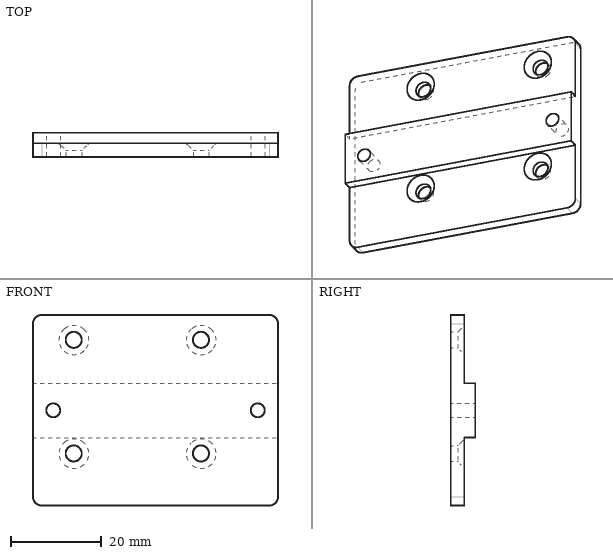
import cadquery as cq

plate_width = 54.0
plate_height = 42.0
plate_thickness = 3.0
corner_radius = 2.0

rib_height = 12.0
rib_depth = 2.4
total_depth = plate_thickness + rib_depth

mount_hole_diameter = 3.5
mount_spacing_x = 28.0
mount_spacing_z = 25.0
mount_centre_x = -4.0
mount_centre_z = 3.0

countersink_depth = plate_thickness / 2
countersink_diameter = mount_hole_diameter + 2 * countersink_depth

end_hole_diameter = 3.0
end_hole_spacing = 45.0


def make_plate():
    """Rounded rectangular plate, from y = 0 to y = plate_thickness."""
    plate = cq.Workplane("XY").box(
        plate_width, plate_thickness, plate_height, centered=(True, False, True)
    )
    return plate.edges("|Y").fillet(corner_radius)


def make_rib():
    """Bar standing on the back face of the plate."""
    rib = cq.Workplane("XY").box(
        plate_width, rib_depth, rib_height, centered=(True, False, True)
    )
    return rib.translate((0, plate_thickness, 0))


def make_hole_cutters(diameter, centres):
    """Cylinders along Y through the full depth, at the given (x, z) centres."""
    return cq.Workplane("XZ").pushPoints(centres).circle(diameter / 2).extrude(-total_depth)


def make_countersink_cutters(centres):
    """Cones that widen towards the back face of the plate, at the given (x, z) centres."""
    cone = cq.Solid.makeCone(
        mount_hole_diameter / 2,
        countersink_diameter / 2,
        countersink_depth,
        pnt=cq.Vector(0, plate_thickness - countersink_depth, 0),
        dir=cq.Vector(0, 1, 0),
    )
    cutters = cq.Workplane("XY")
    for x, z in centres:
        cutters = cutters.add(cone.translate(cq.Vector(x, 0, z)))
    return cutters.combine()


mount_centres = [
    (mount_centre_x + side_x * mount_spacing_x / 2, mount_centre_z + side_z * mount_spacing_z / 2)
    for side_x in (-1, 1)
    for side_z in (-1, 1)
]
end_centres = [(side * end_hole_spacing / 2, 0) for side in (-1, 1)]

plate = make_plate().cut(make_hole_cutters(mount_hole_diameter, mount_centres))
plate = plate.cut(make_countersink_cutters(mount_centres))
body = plate.union(make_rib())
result = body.cut(make_hole_cutters(end_hole_diameter, end_centres))